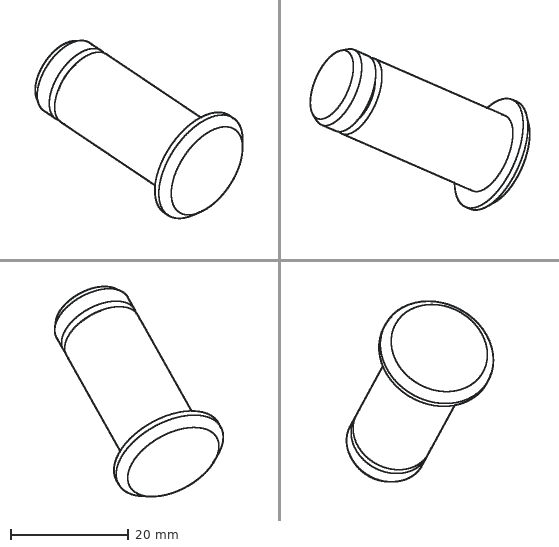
import cadquery as cq
import math

total_length = 35.5

shank_diameter = 14.0
tip_chamfer_length = 1.25
tip_chamfer_angle = 30.0

groove_diameter = 10.0
groove_start = 4.2
groove_width = 1.3

head_diameter = 20.0
head_thickness = 2.5
head_chamfer = 1.5

tip_chamfer_depth = tip_chamfer_length * math.tan(math.radians(tip_chamfer_angle))


def cylinder_along_x(start, length, diameter):
    """Solid cylinder centred on the X axis."""
    return cq.Workplane("YZ", origin=(start, 0, 0)).circle(diameter / 2).extrude(length)


def make_shank():
    """Full-length shank with a tapered tip."""
    shank = cylinder_along_x(0, total_length, shank_diameter)
    return shank.faces("<X").chamfer(tip_chamfer_length, tip_chamfer_depth)


def make_head():
    """Round head with a 45 degree chamfer on its outer face."""
    head = cylinder_along_x(total_length - head_thickness, head_thickness, head_diameter)
    return head.faces(">X").chamfer(head_chamfer)


def make_groove():
    """Ring removed from the shank to form the retaining groove."""
    outer = cylinder_along_x(groove_start, groove_width, head_diameter)
    core = cylinder_along_x(groove_start, groove_width, groove_diameter)
    return outer.cut(core)


result = make_shank().union(make_head()).cut(make_groove())